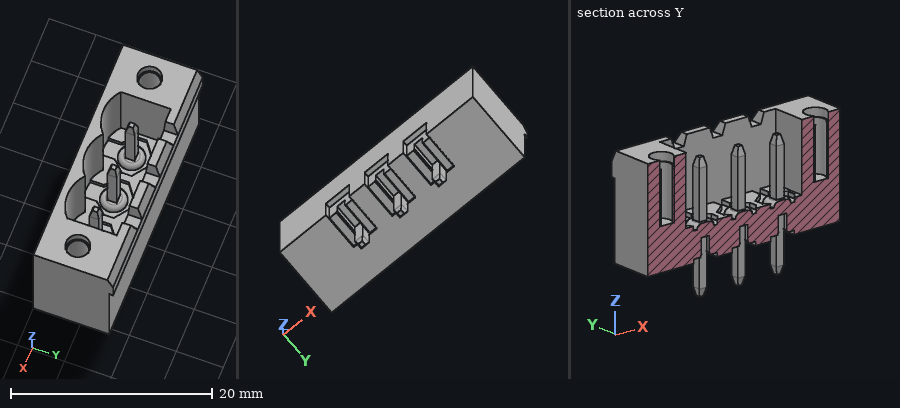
import cadquery as cq


length = 25.0
height = 12.0
front_y = -3.8
back_y = 4.3
lip_overhang = 0.4
lip_height = 3.0
lip_chamfer_depth = 0.6
lip_chamfer_height = 1.2
lip_y = back_y + lip_overhang

pin_pitch = 5.0
pin_x = [-pin_pitch, 0, pin_pitch]
pin_size = 1.0
pin_tip_size = 0.5
pin_taper_length = 1.0
pin_bottom_z = -4.0
pin_top_z = 10.8

pocket_floor_z = 4.0
pocket_length = len(pin_x) * pin_pitch
pocket_back_y = 3.2
bulge_corner_y = -2.1
bulge_tip_y = -3.0

groove_depth = 0.5
groove_back_half = 0.53
groove_middle_half = 2.12
groove_front_half = 0.98
groove_back_corner_y = 1.98
groove_upper_y = 0.8
groove_lower_y = -0.25
groove_front_corner_y = -1.43
groove_floor_z = pocket_floor_z - groove_depth

collar_diameter = 2.8
collar_top_diameter = 1.65
collar_round = (collar_diameter - collar_top_diameter) / 2

notch_top_width = 2.0
notch_bottom_width = 1.2
notch_depth = 1.2

relief_width = 3.0
relief_height = 4.45
relief_depth = 0.55
channel_height = 2.5
undercut_height = 0.45
flare_width = 0.12
flare_height = 0.3

insert_spacing = 20.0
insert_x = [-insert_spacing / 2, insert_spacing / 2]
insert_diameter = 2.5
insert_bore = 2.2
insert_recess = 1.0
insert_length = 6.0
insert_top_z = height - insert_recess


def box(width, y_start, y_end, z_start, z_end):
    """Box centred on X = 0 between the given Y and Z limits."""
    return (
        cq.Workplane("XY", origin=(0, (y_start + y_end) / 2, z_start))
        .rect(width, y_end - y_start)
        .extrude(z_end - z_start)
    )


def make_block():
    """Solid block with the chamfered lip along the top of its back."""
    return (
        cq.Workplane("YZ", origin=(-length / 2, 0, 0))
        .moveTo(front_y, 0)
        .lineTo(back_y, 0)
        .lineTo(back_y, height - lip_height)
        .lineTo(lip_y, height - lip_height)
        .lineTo(lip_y, height - lip_chamfer_height)
        .lineTo(lip_y - lip_chamfer_depth, height)
        .lineTo(front_y, height)
        .close()
        .extrude(length)
    )


def pocket_prism(bottom_z):
    """Pocket outline raised from the given level to the top of the housing."""
    half = pocket_length / 2
    outline = (
        cq.Workplane("XY", origin=(0, 0, bottom_z))
        .moveTo(half, pocket_back_y)
        .lineTo(-half, pocket_back_y)
        .lineTo(-half, bulge_corner_y)
    )
    for x in pin_x:
        outline = outline.threePointArc((x, bulge_tip_y), (x + pin_pitch / 2, bulge_corner_y))
    return outline.close().extrude(height - bottom_z)


def make_groove():
    """Keying groove around the pin at X = 0, running from the back to the front of the housing."""
    right_side = [
        (groove_back_half, back_y),
        (groove_back_half, groove_back_corner_y),
        (groove_middle_half, groove_upper_y),
        (groove_middle_half, groove_lower_y),
        (groove_front_half, groove_front_corner_y),
        (groove_front_half, front_y),
    ]
    left_side = [(-x, y) for x, y in reversed(right_side)]
    return (
        cq.Workplane("XY", origin=(0, 0, groove_floor_z))
        .polyline(right_side + left_side)
        .close()
        .extrude(groove_depth)
    )


def make_collar():
    """Collar with a quarter-round edge."""
    return (
        cq.Workplane("XZ", origin=(0, 0, groove_floor_z))
        .moveTo(0, 0)
        .lineTo(collar_diameter / 2, 0)
        .radiusArc((collar_top_diameter / 2, collar_round), -collar_round)
        .lineTo(0, collar_round)
        .close()
        .revolve(360, (0, 0, 0), (0, 1, 0))
    )


def make_notch():
    """Notch through the back wall of the pocket, narrowing towards its floor."""
    top = notch_top_width / 2
    bottom = notch_bottom_width / 2
    floor_z = height - notch_depth
    return (
        cq.Workplane("XZ", origin=(0, pocket_back_y, 0))
        .polyline([(-bottom, floor_z), (bottom, floor_z), (top, height), (-top, height)])
        .close()
        .extrude(pocket_back_y - lip_y)
    )


def make_relief():
    """Front recess, shallow undercut and flared channel that lead in to the pin at X = 0."""
    pin_back_y = pin_size / 2
    recess = box(relief_width, front_y, front_y + relief_depth, 0, relief_height)
    undercut = box(relief_width, front_y, pin_back_y, 0, undercut_height)
    channel = box(pin_size, front_y, pin_back_y, 0, channel_height)
    mouth = pin_size / 2 + flare_width
    flare_top = undercut_height + flare_height
    flare = (
        cq.Workplane("XZ", origin=(0, pin_back_y, 0))
        .polyline([
            (-mouth, undercut_height),
            (mouth, undercut_height),
            (pin_size / 2, flare_top),
            (-pin_size / 2, flare_top),
        ])
        .close()
        .extrude(pin_back_y - front_y)
    )
    return recess.union(undercut).union(channel).union(flare)


def make_pin(x):
    """Square pin with both ends tapered."""
    lower_z = pin_bottom_z + pin_taper_length
    upper_z = pin_top_z - pin_taper_length
    half = pin_size / 2
    shank = box(pin_size, -half, half, lower_z, upper_z)
    for face in (">Z", "<Z"):
        shank = (
            shank.faces(face)
            .workplane()
            .rect(pin_size, pin_size)
            .workplane(offset=pin_taper_length)
            .rect(pin_tip_size, pin_tip_size)
            .loft(combine=True)
        )
    return shank.translate((x, 0, 0))


def make_insert(x):
    """Sleeve set below the top face."""
    return (
        cq.Workplane("XY", origin=(x, 0, insert_top_z))
        .circle(insert_diameter / 2)
        .circle(insert_bore / 2)
        .extrude(-insert_length)
    )


def make_housing():
    """Block with its pocket, grooves, collars, notches, reliefs, pin holes and insert holes."""
    housing = make_block().cut(pocket_prism(pocket_floor_z))
    groove_limit = pocket_prism(groove_floor_z)
    pin_hole = box(pin_size, -pin_size / 2, pin_size / 2, 0, height)
    for x in pin_x:
        groove = make_groove().translate((x, 0, 0)).intersect(groove_limit)
        housing = housing.cut(groove)
        housing = housing.union(make_collar().translate((x, 0, 0)))
        for cutter in (make_notch(), make_relief(), pin_hole):
            housing = housing.cut(cutter.translate((x, 0, 0)))
    for x in insert_x:
        insert_hole = (
            cq.Workplane("XY", origin=(x, 0, height))
            .circle(insert_diameter / 2)
            .extrude(-(insert_recess + insert_length))
        )
        housing = housing.cut(insert_hole)
    return housing


housing = make_housing()
pins = [make_pin(x) for x in pin_x]
inserts = [make_insert(x) for x in insert_x]

result = cq.Compound.makeCompound([
    housing.solids().val(),
    *[pin.solids().val() for pin in pins],
    *[insert.solids().val() for insert in inserts],
])